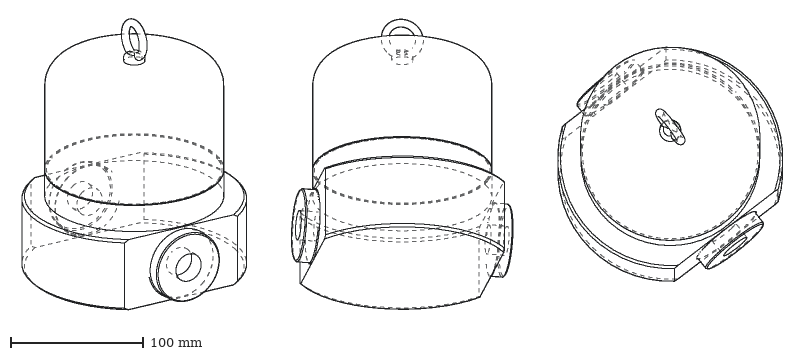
import cadquery as cq

base_diameter = 170.0
base_height = 57.75
base_chamfer = 2.0
width_across_flats = 138.0

overall_length = 160.0
port_diameter = 55.5
port_edge_chamfer = 1.0
port_foot_fillet = 0.9
port_axis_height = 28.65
port_bore_diameter = 22.2
port_bore_depth = 14.0

housing_diameter = 135.4
housing_top = 169.0
dome_radius = 20.0
groove_diameter = 132.8
groove_width = 0.6
groove_center_height = 79.5

collar_diameter = 16.0
collar_straight_height = 2.9
collar_shoulder_diameter = 13.0
collar_shoulder_height = 5.6
crown_middle_diameter = 10.4
crown_middle_height = 6.7
crown_top_diameter = 7.8
collar_height = 7.1
ring_outer_diameter = 32.4
ring_wire_diameter = 6.0
overall_height = 202.54


def make_base():
    disc = cq.Workplane("XY").circle(base_diameter / 2).extrude(base_height)
    disc = disc.edges().chamfer(base_chamfer)
    flats = cq.Workplane("XY").rect(width_across_flats, base_diameter).extrude(base_height)
    return disc.intersect(flats)


def make_housing():
    height = housing_top - base_height
    housing = (
        cq.Workplane("XY", origin=(0, 0, base_height))
        .circle(housing_diameter / 2)
        .extrude(height)
        .faces(">Z")
        .edges()
        .fillet(dome_radius)
    )
    groove = (
        cq.Workplane("XY", origin=(0, 0, groove_center_height - groove_width / 2))
        .circle(housing_diameter / 2)
        .circle(groove_diameter / 2)
        .extrude(groove_width)
    )
    return housing.cut(groove)


def make_port(side):
    """Port boss revolved about its own axis; side is +1 or -1 along X."""
    foot = width_across_flats / 2
    end = overall_length / 2
    radius = port_diameter / 2
    return (
        cq.Workplane("XY")
        .moveTo(side * foot, 0)
        .lineTo(side * foot, radius + port_foot_fillet)
        .radiusArc((side * (foot + port_foot_fillet), radius), -side * port_foot_fillet)
        .lineTo(side * (end - port_edge_chamfer), radius)
        .lineTo(side * end, radius - port_edge_chamfer)
        .lineTo(side * end, 0)
        .close()
        .revolve(360, (0, 0, 0), (1, 0, 0))
        .translate((0, 0, port_axis_height))
    )


def make_port_bore(side):
    outer_end = (side * overall_length / 2, 0, port_axis_height)
    return (
        cq.Workplane("YZ", origin=outer_end)
        .circle(port_bore_diameter / 2)
        .extrude(-side * port_bore_depth)
    )


def make_eye_bolt():
    radius = collar_diameter / 2
    shoulder_radius = collar_shoulder_diameter / 2
    shoulder_inset = radius - shoulder_radius
    shoulder_rise = collar_shoulder_height - collar_straight_height
    shoulder_round = (shoulder_inset**2 + shoulder_rise**2) / (2 * shoulder_inset)
    collar = (
        cq.Workplane("XZ")
        .lineTo(radius, 0)
        .lineTo(radius, collar_straight_height)
        .radiusArc((shoulder_radius, collar_shoulder_height), -shoulder_round)
        .lineTo(crown_middle_diameter / 2, crown_middle_height)
        .lineTo(crown_top_diameter / 2, collar_height)
        .lineTo(0, collar_height)
        .close()
        .revolve(360, (0, 0, 0), (0, 1, 0))
        .translate((0, 0, housing_top))
    )
    ring_center_height = overall_height - ring_outer_diameter / 2
    wire_path_radius = (ring_outer_diameter - ring_wire_diameter) / 2
    ring = cq.Workplane(
        cq.Solid.makeTorus(
            wire_path_radius,
            ring_wire_diameter / 2,
            cq.Vector(0, 0, ring_center_height),
            cq.Vector(0, 1, 0),
        )
    )
    return collar.union(ring)


result = make_base().union(make_housing()).union(make_eye_bolt())
for side in (-1, 1):
    result = result.union(make_port(side)).cut(make_port_bore(side))